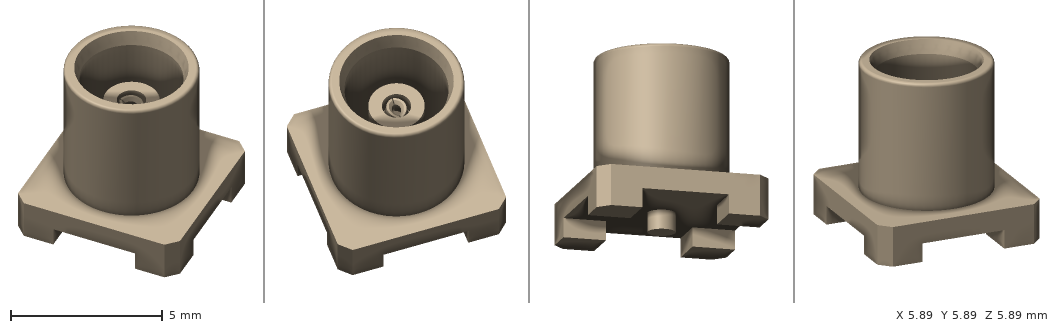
import cadquery as cq
import math

side = 5.89
height = 5.89
base_top = 1.4
corner_chamfer = 0.39
channel_width = 2.97
channel_height = 0.655

barrel_radius = 2.245
rim_fillet = 0.12
bore_radius = 1.72
mouth_radius = 1.89
mouth_depth = 0.46

post_radius = 0.93
post_top = 4.51
socket_radius = 0.485
socket_depth = 0.62

tip_drop = 0.15
contact_radius = 0.45
tip_inner_radius = 0.37
contact_hole_radius = 0.255
tip_shift = 0.12
foot_shift = 0.03
contact_mouth_depth = 0.09
slit = 0.035
tail_radius = 0.47

socket_floor = post_top - socket_depth
contact_height = socket_depth - tip_drop
lean_angle = math.degrees(math.atan((tip_shift - foot_shift) / contact_height))


def make_base():
    """Chamfered square block with crossing channels underneath."""
    block = cq.Workplane("XY").rect(side, side).extrude(base_top)
    block = block.edges("|Z").chamfer(corner_chamfer)
    for size in ((side, channel_width), (channel_width, side)):
        block = block.cut(cq.Workplane("XY").rect(*size).extrude(channel_height))
    return block


def make_barrel():
    """Open tube with a rounded outer rim and a conical mouth."""
    start = cq.Workplane("XY").workplane(offset=base_top)
    barrel = start.circle(barrel_radius).extrude(height - base_top)
    barrel = barrel.faces(">Z").edges().fillet(rim_fillet)
    bore = (
        cq.Workplane("XZ")
        .moveTo(0, base_top)
        .lineTo(bore_radius, base_top)
        .lineTo(bore_radius, height - mouth_depth)
        .lineTo(mouth_radius, height)
        .lineTo(0, height)
        .close()
        .revolve(360, (0, 0), (0, 1))
    )
    return barrel.cut(bore)


def make_post():
    """Insulator post with the blind contact socket."""
    post = cq.Workplane("XY").workplane(offset=base_top).circle(post_radius).extrude(post_top - base_top)
    socket = cq.Workplane("XY").workplane(offset=socket_floor).circle(socket_radius).extrude(socket_depth)
    return post.cut(socket)


def make_jaw():
    """Contact jaw on the +Y side, leaning toward the slit from the socket floor."""
    foot = socket_floor - contact_radius
    tip = socket_floor + contact_height
    tube = (
        cq.Workplane("XZ")
        .moveTo(contact_hole_radius, foot)
        .lineTo(contact_radius, foot)
        .lineTo(contact_radius, tip)
        .lineTo(tip_inner_radius, tip)
        .lineTo(contact_hole_radius, tip - contact_mouth_depth)
        .close()
        .revolve(360, (0, 0), (0, 1))
        .rotate((0, 0, socket_floor), (1, 0, socket_floor), lean_angle)
        .translate((0, -foot_shift, 0))
    )
    keep = cq.Workplane("XY").box(side, side, side, centered=(True, False, False))
    return tube.intersect(keep.translate((0, slit / 2, foot)))


jaw = make_jaw()
tail = cq.Workplane("XY").circle(tail_radius).extrude(base_top)

result = make_base().union(make_barrel()).union(make_post()).union(tail)
result = result.union(jaw).union(jaw.mirror("XZ"))